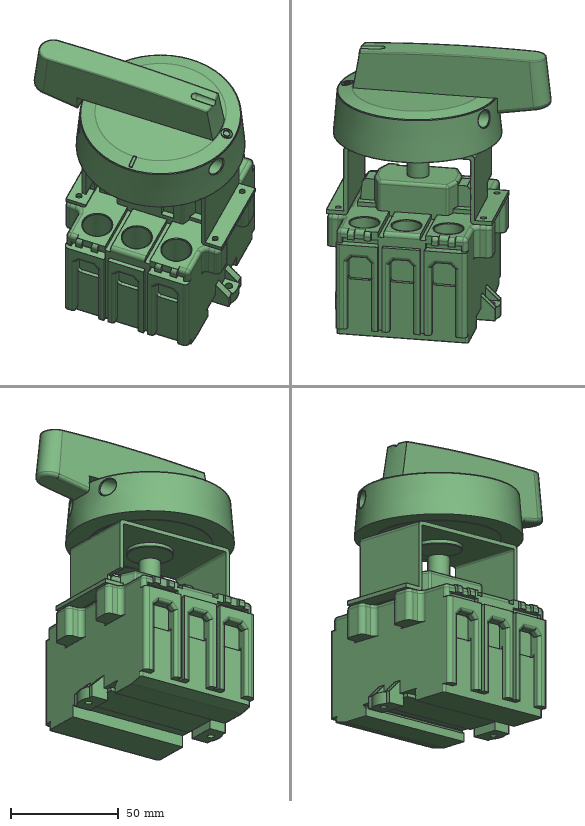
import cadquery as cq
import math


OVERLAP = 1.3

BASE_SHIFT = -0.2
BASE_TOP = 52.8
BODY_WIDTH = 62.2
BODY_DEPTH = 77.9
FOOT_DEPTH = 74.6
FOOT_HEIGHT = 4.0
FOOT_CORNER = 1.2
EDGE_ROUND = 2.1
CELL_PITCH = 20.0
CELL_OFFSETS = (-CELL_PITCH, 0, CELL_PITCH)

PANEL_DEPTH = 82.0
PANEL_TOP = 46.1
PANEL_GAP = 2.0

CHANNEL_WIDTH = 11.5
CHANNEL_TOP = 40.0
CHANNEL_CORNER = 2.4
CHANNEL_RIM = 1.5
SILL_HEIGHT = 27.8
WINDOW_CORNER = 1.6
WINDOW_DEPTH = 1.8

LID_GROOVE_WIDTH = 2.6
LID_GROOVE_DEPTH = 2.4
LIP_BOTTOM = 48.8
LIP_INNER = 36.8
LIP_OUTER = 40.7
TOOTH_INNER = 2.4
TOOTH_OUTER = 5.5
UNDERCUT_OUTER = 28.4

TERMINAL_RADIUS = 6.8
TERMINAL_Y = 27.7
TERMINAL_DEPTH = 15.8
TERMINAL_RIM = 0.4

EAR_SPAN = 78.1
EAR_BOTTOM = 37.0
EAR_Y = 16.0
EAR_WIDTH = 11.3
EAR_ROUND = 2.6
EAR_ROOT = 2.5

RAIL_TOP = 5.8
RAIL_BACK = 17.9
RAIL_FRONT = -17.7
RAIL_CATCH = 1.5
CATCH_HEIGHT = 4.0
FOOT_BEVEL_LENGTH = 7.5
FOOT_BEVEL_RISE = 1.5
CLIP_WIDTH = 19.7
CLIP_BOTTOM = 4.1

TAB_WIDTH = 14.5
TAB_CORNER = 1.3
TAB_NOSE_WIDTH = 10.0
TAB_RIB_WIDTH = 3.5
TAB_RIB_TOP = 12.1
TAB_HOLE_RADIUS = 1.7
TAB_HOLE_X = 34.7

TOWER_TOP = 67.6
TOWER_WIDTH = 39.7
TOWER_DEPTH = 23.9
TOWER_FACE_WIDTH = 33.1
TOWER_SIDE_DEPTH = 9.2
TOWER_CORNER = 1.3
TOWER_TOP_ROUND = 1.6
TOWER_SLOT_X = 8.8
TOWER_SLOT_WIDTH = 6.2
TOWER_SLOT_BOTTOM = 55.0
TOWER_SLOT_DEPTH = 2.6

WING_TOP = 65.4
WING_SHOULDER = 63.7
WING_STEP = 54.9
WING_FOOT_X = 27.2
WING_BOTTOM_X = 26.7
WING_SHOULDER_X = 25.6
WING_TOP_X = 24.2
WING_DEPTH = TOWER_SIDE_DEPTH
WING_FOOT_DEPTH = 16.3

SPINDLE_RADIUS = 5.1
SPINDLE_TOP = 79.5

SHEET = 2.0
BRACKET_TOP = 86.9
BRACKET_WIDTH = 62.1
BRACKET_SPAN = 78.5
BRACKET_DEPTH = 40.3
BEND_OUTER = 1.8
BEND_INNER = 0.8
BRACKET_HOLE_X = 34.4
BRACKET_HOLE_Y = 16.0
BRACKET_HOLE_RADIUS = 1.3
LEG_NOTCH_LENGTH = 10.2
LEG_NOTCH_HEIGHT = 7.5

HUB_RADIUS = 11.0
HUB_BOTTOM = 82.9
HUB_CHAMFER = 0.4
FACE_BOTTOM = 88.5
FACE_RADIUS = 29.1
DISC_BOTTOM = 88.9
DISC_BOTTOM_RADIUS = 39.3
DISC_RIM_Z = 109.6
DISC_RIM_RADIUS = 37.5
DISC_RIM_CHAMFER = 0.4
DISC_TOP = 111.2
DISC_FLAT_RADIUS = 30.5

SIDE_HOLE_RADIUS = 4.1
SIDE_HOLE_CHAMFER = 0.4
SIDE_HOLE_Y = 15.1
SIDE_HOLE_Z = 103.9
BLIND_HOLE_DEPTH = 13.1

HANDLE_TOP = 131.3
HANDLE_TIP_X = -63.2
HANDLE_TIP_Z = 109.0
TIP_LEAN = 0.11
HANDLE_HALF_WIDTH = 7.0
SIDE_DRAFT = 0.018
HANDLE_STEP_X = -39.3
HANDLE_STEP_Z = 103.3
UNDERSIDE_SLOPE = 0.17
UNDERSIDE_ROUND = 1.8
CREST_X = -32.8
ARCH_END_X = 31.5
ARCH_END_Z = 128.7
NOSE_BOTTOM_RADIUS = 30.1
NOSE_TOP_RADIUS = 26.7
HANDLE_TOP_ROUND = 0.5

POINTER_RADIUS = 2.0
POINTER_START_X = 17.6
POINTER_Z = 129.9
MARK_WIDTH = 1.6
MARK_END = 36.1
MARK_HEIGHT = 0.4
RING_X = 33.4
RING_OUTER = 2.6
RING_INNER = 1.6


def box(x_range, y_range, z_range):
    """Axis-aligned box between pairs of limits given in any order."""
    sizes = [abs(limits[1] - limits[0]) for limits in (x_range, y_range, z_range)]
    low_corner = tuple(min(limits) for limits in (x_range, y_range, z_range))
    return cq.Workplane("XY").box(*sizes, centered=False).translate(low_corner)


def on_both_sides(shape, plane):
    """The shape together with its mirror image."""
    return shape.union(shape.mirror(plane))


def ears():
    """Two rounded mounting ears on each side wall, faired into the wall."""
    wall_x = BODY_WIDTH / 2
    half = EAR_WIDTH / 2
    diagonal = EAR_ROOT * (1 - math.sqrt(0.5))
    ear = (
        cq.Workplane("XY", origin=(0, EAR_Y, EAR_BOTTOM))
        .moveTo(0, half + EAR_ROOT)
        .lineTo(wall_x, half + EAR_ROOT)
        .threePointArc((wall_x + diagonal, half + diagonal), (wall_x + EAR_ROOT, half))
        .lineTo(EAR_SPAN / 2, half)
        .lineTo(EAR_SPAN / 2, -half)
        .lineTo(wall_x + EAR_ROOT, -half)
        .threePointArc((wall_x + diagonal, -half - diagonal), (wall_x, -half - EAR_ROOT))
        .lineTo(0, -half - EAR_ROOT)
        .close()
        .extrude(BASE_TOP - EAR_BOTTOM)
    )
    ear = ear.edges("|Z and >X").fillet(EAR_ROUND)
    return on_both_sides(on_both_sides(ear, "XZ"), "YZ")


def body_block():
    """Main block with its ears, rounded along the corners and the top edge."""
    block = box(
        (-BODY_WIDTH / 2, BODY_WIDTH / 2), (-BODY_DEPTH / 2, BODY_DEPTH / 2), (FOOT_HEIGHT, BASE_TOP)
    )
    block = block.edges("|Z").fillet(EDGE_ROUND)
    return block.union(ears()).faces(">Z").edges().fillet(EDGE_ROUND)


def foot():
    """Lower part of the block, bevelled at its -Y end and cut across for a mounting rail."""
    half = FOOT_DEPTH / 2
    catch_y = RAIL_FRONT + RAIL_CATCH
    profile = [
        (-half, FOOT_BEVEL_RISE),
        (-half + FOOT_BEVEL_LENGTH, 0),
        (catch_y, 0),
        (catch_y, CATCH_HEIGHT),
        (RAIL_FRONT, CATCH_HEIGHT + RAIL_CATCH),
        (RAIL_FRONT, RAIL_TOP),
        (RAIL_BACK, RAIL_TOP),
        (RAIL_BACK, 0),
        (half, 0),
        (half, RAIL_TOP + OVERLAP),
        (-half, RAIL_TOP + OVERLAP),
    ]
    slab = cq.Workplane("YZ").polyline(profile).close().extrude(BODY_WIDTH / 2, both=True)
    return slab.edges("|Z and (<Y or >Y)").fillet(FOOT_CORNER)


def rail_channel():
    """Clearance for the mounting rail where it passes through the main block."""
    return box((-BODY_WIDTH, BODY_WIDTH), (RAIL_FRONT, RAIL_BACK), (0, RAIL_TOP))


def rail_clip():
    """Low pad on the roof of the rail channel."""
    half_length = BODY_WIDTH / 2 - EDGE_ROUND
    half_width = CLIP_WIDTH / 2
    return box((-half_length, half_length), (-half_width, half_width), (CLIP_BOTTOM, RAIL_TOP + OVERLAP))


def front_panels():
    """Three raised panels on the -Y face, the outer two rounded at the corners of the base."""
    slab = box(
        (-BODY_WIDTH / 2, BODY_WIDTH / 2), (-PANEL_DEPTH / 2, -LIP_INNER), (FOOT_HEIGHT, PANEL_TOP)
    )
    slab = slab.edges("|Z and <Y").fillet(EDGE_ROUND)
    for side in (-1, 1):
        gap_x = side * CELL_PITCH / 2
        gap = box(
            (gap_x - PANEL_GAP / 2, gap_x + PANEL_GAP / 2),
            (-PANEL_DEPTH / 2, -BODY_DEPTH / 2),
            (FOOT_HEIGHT, PANEL_TOP),
        )
        slab = slab.cut(gap)
    return slab


def channel(cell_x):
    """Opening down one panel, flush with the foot and open at the bottom."""
    depth = (PANEL_DEPTH - FOOT_DEPTH) / 2
    height = CHANNEL_TOP - FOOT_HEIGHT
    return (
        cq.Workplane("XZ", origin=(cell_x, -FOOT_DEPTH / 2, 0))
        .center(0, FOOT_HEIGHT + height / 2)
        .rect(CHANNEL_WIDTH, height)
        .extrude(depth)
        .edges("|Y and >Z")
        .chamfer(CHANNEL_CORNER)
    )


def window(cell_x):
    """Deeper rounded pocket at the top of a channel."""
    height = CHANNEL_TOP - SILL_HEIGHT
    return (
        cq.Workplane("XZ", origin=(cell_x, -FOOT_DEPTH / 2 + WINDOW_DEPTH, 0))
        .center(0, SILL_HEIGHT + height / 2)
        .rect(CHANNEL_WIDTH, height)
        .extrude(WINDOW_DEPTH)
        .edges("|Y")
        .fillet(WINDOW_CORNER)
    )


def round_channel_rims(panels):
    """Round the rim of every channel opening on the outer panel faces."""
    face_y = -PANEL_DEPTH / 2
    half_opening = CHANNEL_WIDTH / 2 + CHANNEL_RIM / 2
    for cell_x in CELL_OFFSETS:
        rim = cq.selectors.BoxSelector(
            (cell_x - half_opening, face_y - CHANNEL_RIM / 2, FOOT_HEIGHT + OVERLAP),
            (cell_x + half_opening, face_y + CHANNEL_RIM / 2, CHANNEL_TOP + OVERLAP),
        )
        panels = panels.edges(rim).fillet(CHANNEL_RIM)
    return panels


def lip_undercut(side):
    """Slot below the lip of an outer pole."""
    groove_x = side * (CELL_PITCH / 2 + LID_GROOVE_WIDTH / 2)
    return box((groove_x, side * UNDERCUT_OUTER), (-PANEL_DEPTH / 2, -LIP_INNER), (PANEL_TOP, LIP_BOTTOM))


def square_lip(side):
    """Square-edged stretches of an outer pole's lip; the +Y lip keeps its round between the teeth."""
    cell_x = side * CELL_PITCH
    groove_x = side * (CELL_PITCH / 2 + LID_GROOVE_WIDTH / 2)
    z_range = (LIP_BOTTOM, BASE_TOP)
    front = box((groove_x, cell_x + side * TOOTH_OUTER), (-BODY_DEPTH / 2, -LIP_INNER), z_range)
    back = box((groove_x, cell_x - side * TOOTH_INNER), (LIP_INNER, BODY_DEPTH / 2), z_range)
    return front.union(back)


def teeth(side):
    """Pair of rounded teeth on the lip of an outer pole."""
    pair = cq.Workplane("XY")
    for direction in (-1, 1):
        start = side * CELL_PITCH + direction * TOOTH_INNER
        end = side * CELL_PITCH + direction * TOOTH_OUTER
        tooth = box((start, end), (-LIP_OUTER, -LIP_INNER), (LIP_BOTTOM, BASE_TOP))
        pair = pair.add(tooth.edges("|X and <Y and >Z").fillet(EDGE_ROUND))
    return pair.combine()


def lid_groove(side):
    """Shallow groove in the top between neighbouring poles, from the -Y face to the tower."""
    centre_x = side * CELL_PITCH / 2
    return box(
        (centre_x - LID_GROOVE_WIDTH / 2, centre_x + LID_GROOVE_WIDTH / 2),
        (-PANEL_DEPTH / 2, -TOWER_DEPTH / 2),
        (BASE_TOP - LID_GROOVE_DEPTH, BASE_TOP),
    )


def drill_terminals(block):
    """Screw access holes, two for each pole."""
    centres = [(x, y) for x in CELL_OFFSETS for y in (-TERMINAL_Y, TERMINAL_Y)]
    holes = (
        cq.Workplane("XY", origin=(0, 0, BASE_TOP))
        .pushPoints(centres)
        .circle(TERMINAL_RADIUS)
        .extrude(-TERMINAL_DEPTH)
    )
    rims = (
        cq.Workplane("XY", origin=(0, 0, BASE_TOP))
        .pushPoints(centres)
        .circle(TERMINAL_RADIUS + TERMINAL_RIM)
        .extrude(-TERMINAL_RIM, taper=45)
    )
    return block.cut(holes).cut(rims)


def mounting_tab():
    """Screw tab at the bottom of the +X side, with two sloping ribs up the wall."""
    tip_x = EAR_SPAN / 2
    wall_x = BODY_WIDTH / 2
    inner_x = wall_x - EDGE_ROUND
    shoulder_x = tip_x - TAB_CORNER
    tab = (
        cq.Workplane("XY")
        .moveTo(inner_x, -TAB_WIDTH / 2)
        .lineTo(shoulder_x, -TAB_WIDTH / 2)
        .lineTo(shoulder_x, -TAB_NOSE_WIDTH / 2)
        .threePointArc((tip_x, 0), (shoulder_x, TAB_NOSE_WIDTH / 2))
        .lineTo(shoulder_x, TAB_WIDTH / 2)
        .lineTo(inner_x, TAB_WIDTH / 2)
        .close()
        .extrude(RAIL_TOP)
    )
    rib_profile = [
        (inner_x, RAIL_TOP - OVERLAP),
        (shoulder_x, RAIL_TOP - OVERLAP),
        (shoulder_x, RAIL_TOP),
        (wall_x, TAB_RIB_TOP),
        (inner_x, TAB_RIB_TOP),
    ]
    rib = (
        cq.Workplane("XZ", origin=(0, TAB_WIDTH / 2, 0))
        .polyline(rib_profile)
        .close()
        .extrude(TAB_RIB_WIDTH)
    )
    hole = cq.Workplane("XY").center(TAB_HOLE_X, 0).circle(TAB_HOLE_RADIUS).extrude(RAIL_TOP)
    return tab.union(on_both_sides(rib, "XZ")).cut(hole)


def tower():
    """Raised mechanism housing with slanted sides, rounded edges and a key slot in its -Y face."""
    half_depth = TOWER_DEPTH / 2
    right_side = [
        (TOWER_FACE_WIDTH / 2, -half_depth),
        (TOWER_WIDTH / 2, -TOWER_SIDE_DEPTH / 2),
        (TOWER_WIDTH / 2, TOWER_SIDE_DEPTH / 2),
        (TOWER_FACE_WIDTH / 2, half_depth),
    ]
    left_side = [(-x, -y) for x, y in right_side]
    housing = (
        cq.Workplane("XY", origin=(0, 0, BASE_TOP))
        .polyline(right_side + left_side)
        .close()
        .extrude(TOWER_TOP - BASE_TOP)
    )
    housing = housing.edges("|Z and (<Y or >Y)").fillet(TOWER_CORNER)
    housing = housing.faces(">Z").edges().fillet(TOWER_TOP_ROUND)
    slot = box(
        (TOWER_SLOT_X - TOWER_SLOT_WIDTH / 2, TOWER_SLOT_X + TOWER_SLOT_WIDTH / 2),
        (-half_depth, -half_depth + TOWER_SLOT_DEPTH),
        (TOWER_SLOT_BOTTOM, TOWER_TOP),
    )
    return housing.cut(slot)


def wings():
    """Tapered block through the tower that stands out on both sides, on a wider foot."""
    right_edge = [(WING_BOTTOM_X, BASE_TOP), (WING_SHOULDER_X, WING_SHOULDER), (WING_TOP_X, WING_TOP)]
    left_edge = [(-x, z) for x, z in reversed(right_edge)]
    block = cq.Workplane("XZ").polyline(right_edge + left_edge).close().extrude(WING_DEPTH / 2, both=True)
    wing_foot = box(
        (-WING_FOOT_X, WING_FOOT_X), (-WING_FOOT_DEPTH / 2, WING_FOOT_DEPTH / 2), (BASE_TOP, WING_STEP)
    )
    return block.union(wing_foot)


def spindle():
    """Round drive shaft standing on the tower."""
    return cq.Workplane("XY", origin=(0, 0, BASE_TOP)).circle(SPINDLE_RADIUS).extrude(SPINDLE_TOP - BASE_TOP)


def make_base():
    """Complete switch base as one solid."""
    panels = front_panels()
    for cell_x in CELL_OFFSETS:
        panels = panels.cut(channel(cell_x))
    panels = round_channel_rims(panels)

    block = body_block().cut(rail_channel()).union(foot())
    for side in (-1, 1):
        block = block.cut(on_both_sides(lip_undercut(side), "XZ"))
        block = block.union(square_lip(side))
        block = block.cut(on_both_sides(lid_groove(side), "XZ"))
    for cell_x in CELL_OFFSETS:
        block = block.cut(on_both_sides(channel(cell_x), "XZ"))
    block = block.union(on_both_sides(panels, "XZ"))
    for cell_x in CELL_OFFSETS:
        block = block.cut(on_both_sides(window(cell_x), "XZ"))
    for side in (-1, 1):
        block = block.union(on_both_sides(teeth(side), "XZ"))

    block = drill_terminals(block)
    block = block.union(rail_clip()).union(on_both_sides(mounting_tab(), "YZ"))
    block = block.union(tower()).union(wings()).union(spindle())
    return block.translate((BASE_SHIFT, BASE_SHIFT, 0))


def make_bracket():
    """Bent sheet bridge with flanges on the base and a hole for the knob hub."""
    flange_top = BASE_TOP + SHEET
    outer_x = BRACKET_WIDTH / 2
    inside_x = outer_x - SHEET
    flange_x = BRACKET_SPAN / 2
    y_range = (-BRACKET_DEPTH / 2, BRACKET_DEPTH / 2)
    outer = box((-outer_x, outer_x), y_range, (BASE_TOP, BRACKET_TOP))
    outer = outer.edges("|Y and >Z").fillet(BEND_OUTER)
    flanges = box((-flange_x, flange_x), y_range, (BASE_TOP, flange_top))
    inside = box((-inside_x, inside_x), y_range, (BASE_TOP, BRACKET_TOP - SHEET))
    inside = inside.edges("|Y and >Z").fillet(BEND_INNER)
    bracket = outer.union(flanges).cut(inside)
    foot_bends = cq.selectors.BoxSelector(
        (-outer_x, -BRACKET_DEPTH, 0), (outer_x, BRACKET_DEPTH, flange_top)
    )
    bracket = bracket.edges("|Y and <Z").edges(foot_bends).fillet(BEND_OUTER)

    hub_hole = cq.Workplane("XY", origin=(0, 0, HUB_BOTTOM)).circle(HUB_RADIUS)
    hub_hole = hub_hole.extrude(BRACKET_TOP - HUB_BOTTOM)
    screw_holes = (
        cq.Workplane("XY", origin=(0, 0, BASE_TOP))
        .rect(2 * BRACKET_HOLE_X, 2 * BRACKET_HOLE_Y, forConstruction=True)
        .vertices()
        .circle(BRACKET_HOLE_RADIUS)
        .extrude(SHEET)
    )
    leg_notch = box(
        (-outer_x, -inside_x),
        (-BRACKET_DEPTH / 2, -BRACKET_DEPTH / 2 + LEG_NOTCH_LENGTH),
        (flange_top, flange_top + LEG_NOTCH_HEIGHT),
    )
    return bracket.cut(hub_hole).cut(screw_holes).cut(leg_notch)


def disc_profile():
    """Half section of the disc and hub, radius against height."""
    return [
        (0, HUB_BOTTOM),
        (HUB_RADIUS - HUB_CHAMFER, HUB_BOTTOM),
        (HUB_RADIUS, HUB_BOTTOM + HUB_CHAMFER),
        (HUB_RADIUS, FACE_BOTTOM),
        (FACE_RADIUS, FACE_BOTTOM),
        (FACE_RADIUS, DISC_BOTTOM),
        (DISC_BOTTOM_RADIUS, DISC_BOTTOM),
        (DISC_RIM_RADIUS, DISC_RIM_Z - DISC_RIM_CHAMFER),
        (DISC_RIM_RADIUS - DISC_RIM_CHAMFER, DISC_RIM_Z),
        (DISC_FLAT_RADIUS, DISC_TOP),
        (0, DISC_TOP),
    ]


def disc():
    """Conical disc with its hub, a padlock hole through it and a blind one beside."""
    turned = cq.Workplane("XZ").polyline(disc_profile()).close().revolve(360, (0, 0, 0), (0, 1, 0))
    through = (
        cq.Workplane("YZ", origin=(-DISC_BOTTOM_RADIUS, -SIDE_HOLE_Y, SIDE_HOLE_Z))
        .circle(SIDE_HOLE_RADIUS)
        .extrude(2 * DISC_BOTTOM_RADIUS)
    )
    blind = (
        cq.Workplane("YZ", origin=(-DISC_BOTTOM_RADIUS, SIDE_HOLE_Y, SIDE_HOLE_Z))
        .circle(SIDE_HOLE_RADIUS)
        .extrude(BLIND_HOLE_DEPTH)
    )
    bored = turned.cut(through).cut(blind)
    for side in (-1, 1):
        x_limits = sorted((side * DISC_FLAT_RADIUS, side * DISC_BOTTOM_RADIUS))
        mouths = cq.selectors.BoxSelector(
            (x_limits[0], -DISC_RIM_RADIUS / 2, SIDE_HOLE_Z - SIDE_HOLE_RADIUS / 2),
            (x_limits[1], DISC_RIM_RADIUS / 2, SIDE_HOLE_Z + SIDE_HOLE_RADIUS / 2),
        )
        bored = bored.edges(mouths).edges("%BSPLINE").chamfer(SIDE_HOLE_CHAMFER)
    return bored


def handle_outline(height):
    """Round-ended plan outline of the handle at a height, wider and longer lower down."""
    rise = height - HANDLE_TIP_Z
    half_width = HANDLE_HALF_WIDTH - SIDE_DRAFT * rise
    tip_x = HANDLE_TIP_X + TIP_LEAN * rise
    round_x = tip_x + half_width
    return (
        cq.Workplane("XY", origin=(0, 0, height))
        .moveTo(DISC_BOTTOM_RADIUS, half_width)
        .lineTo(round_x, half_width)
        .threePointArc((tip_x, 0), (round_x, -half_width))
        .lineTo(DISC_BOTTOM_RADIUS, -half_width)
        .close()
        .wire()
        .val()
    )


def pointer_groove():
    """Round-ended groove in the top of the handle, pointing towards +X."""
    end_x = POINTER_START_X - POINTER_RADIUS
    diagonal = POINTER_RADIUS * math.sqrt(0.5)
    return (
        cq.Workplane("XY", origin=(0, 0, POINTER_Z))
        .moveTo(end_x, 0)
        .threePointArc((POINTER_START_X - diagonal, diagonal), (POINTER_START_X, POINTER_RADIUS))
        .lineTo(DISC_BOTTOM_RADIUS, POINTER_RADIUS)
        .lineTo(DISC_BOTTOM_RADIUS, 0)
        .close()
        .revolve(360, (0, 0, 0), (1, 0, 0))
    )


def nose_trim():
    """Material to remove outside the conical +X end of the handle."""
    cone = cq.Workplane(
        cq.Solid.makeCone(
            NOSE_BOTTOM_RADIUS, NOSE_TOP_RADIUS, HANDLE_TOP - DISC_TOP, cq.Vector(0, 0, DISC_TOP)
        )
    )
    block = box((0, DISC_BOTTOM_RADIUS), (-DISC_BOTTOM_RADIUS, DISC_BOTTOM_RADIUS), (DISC_TOP, HANDLE_TOP))
    return block.cut(cone)


def handle():
    """Drafted handle bar with an overhanging tip, an arched top and a conical nose."""
    bar_bottom = HANDLE_STEP_Z - OVERLAP
    bar_top = HANDLE_TOP + OVERLAP
    bar = cq.Solid.makeLoft([handle_outline(bar_bottom), handle_outline(bar_top)], True)

    arch_start_x = 2 * CREST_X - ARCH_END_X
    underside_start_z = HANDLE_STEP_Z + UNDERSIDE_SLOPE * (HANDLE_STEP_X - arch_start_x)
    side_profile = (
        cq.Workplane("XZ")
        .moveTo(arch_start_x, ARCH_END_Z)
        .threePointArc((CREST_X, HANDLE_TOP), (ARCH_END_X, ARCH_END_Z))
        .lineTo(ARCH_END_X, DISC_TOP)
        .lineTo(HANDLE_STEP_X, DISC_TOP)
        .lineTo(HANDLE_STEP_X, HANDLE_STEP_Z)
        .lineTo(arch_start_x, underside_start_z)
        .close()
        .extrude(2 * HANDLE_HALF_WIDTH, both=True)
    )
    grip = side_profile.intersect(cq.Workplane(bar)).cut(nose_trim())

    underside = cq.selectors.BoxSelector(
        (arch_start_x, -DISC_BOTTOM_RADIUS, bar_bottom),
        (HANDLE_STEP_X - OVERLAP, DISC_BOTTOM_RADIUS, HANDLE_TIP_Z),
    )
    top_edges = cq.selectors.BoxSelector(
        (arch_start_x, -DISC_BOTTOM_RADIUS, ARCH_END_Z - OVERLAP), (ARCH_END_X, DISC_BOTTOM_RADIUS, bar_top)
    )
    grip = grip.edges(underside).fillet(UNDERSIDE_ROUND)
    grip = grip.edges(top_edges).fillet(HANDLE_TOP_ROUND)
    return grip.cut(pointer_groove())


def raised_border():
    """Ring lying just proud of the sloping border of the disc."""
    profile = [
        (DISC_FLAT_RADIUS, DISC_RIM_Z - OVERLAP),
        (DISC_FLAT_RADIUS, DISC_TOP + MARK_HEIGHT),
        (DISC_RIM_RADIUS, DISC_RIM_Z + MARK_HEIGHT),
        (DISC_RIM_RADIUS, DISC_RIM_Z - OVERLAP),
    ]
    return cq.Workplane("XZ").polyline(profile).close().revolve(360, (0, 0, 0), (0, 1, 0))


def index_mark():
    """Raised line down the sloping border of the disc, on the -Y side."""
    strip = box((-MARK_WIDTH / 2, MARK_WIDTH / 2), (-MARK_END, 0), (DISC_RIM_Z - OVERLAP, HANDLE_TOP))
    return raised_border().intersect(strip)


def index_ring():
    """Raised ring on the sloping border of the disc, beyond the handle's nose."""
    tube = cq.Workplane("XY", origin=(RING_X, 0, DISC_RIM_Z - OVERLAP))
    tube = tube.circle(RING_OUTER).circle(RING_INNER).extrude(HANDLE_TOP - DISC_RIM_Z)
    return raised_border().intersect(tube)


def make_knob():
    """Complete knob as one solid."""
    return disc().union(handle()).union(index_mark()).union(index_ring())


base = make_base()
bracket = make_bracket()
knob = make_knob()

result = cq.Compound.makeCompound([base.solids().val(), bracket.solids().val(), knob.solids().val()])